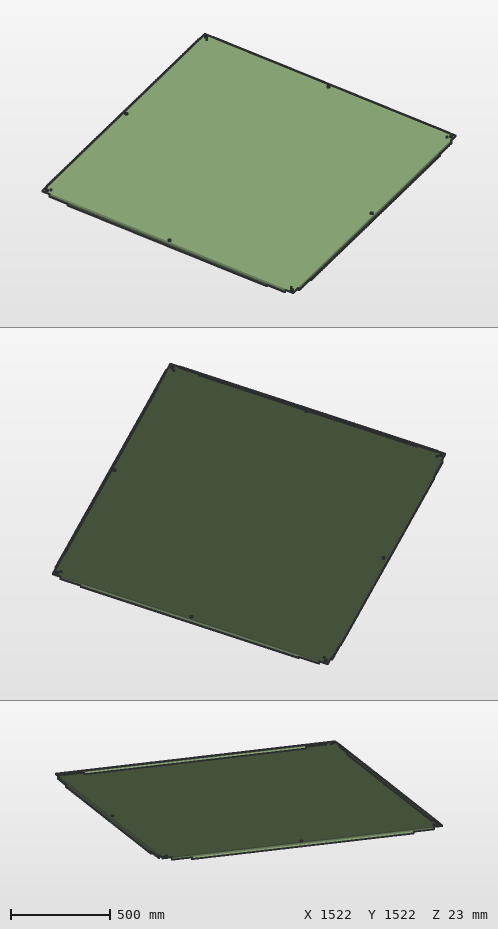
import cadquery as cq

panel_size = 1522.0
panel_height = 23.0
sheet = 3.0
bend_radius = 6.4
corner_setback = 5.3
flange_length = 1420.0
shallow_height = 14.0
deep_length = 1200.0

large_hole = 12.6
large_hole_position = 738.0
small_hole = 7.2
small_hole_position = 723.0

half_size = panel_size / 2
bend_axis = half_size - bend_radius
inner_radius = bend_radius - sheet
corner_edge = half_size - corner_setback
corner_size = corner_edge - flange_length / 2
shoulder_height = panel_height - shallow_height
shoulder_length = (flange_length - deep_length) / 2


def plate_square(size, centres):
    """Square sheets of one size with their top faces at the full panel height."""
    return (
        cq.Workplane("XY")
        .workplane(offset=panel_height - sheet)
        .pushPoints(centres)
        .rect(size, size)
        .extrude(sheet)
    )


def bent_flange():
    """Flange on the -Y edge: a quarter bend and a wall with a notch at each lower end."""
    bend_height = panel_height - bend_radius
    flange = (
        cq.Workplane("YZ")
        .moveTo(-bend_axis, panel_height)
        .radiusArc((-half_size, bend_height), -bend_radius)
        .lineTo(-half_size, 0)
        .lineTo(-half_size + sheet, 0)
        .lineTo(-half_size + sheet, bend_height)
        .radiusArc((-bend_axis, panel_height - sheet), inner_radius)
        .close()
        .extrude(flange_length / 2, both=True)
    )
    notch_offset = (deep_length + shoulder_length) / 2
    notches = (
        cq.Workplane("XY")
        .pushPoints([(-notch_offset, -half_size), (notch_offset, -half_size)])
        .rect(shoulder_length, 2 * bend_radius)
        .extrude(shoulder_height)
    )
    return flange.cut(notches)


def hole_cutter(points, diameter):
    """Vertical pins that reach through the whole panel height."""
    return cq.Workplane("XY").pushPoints(points).circle(diameter / 2).extrude(2 * panel_height)


def corner_points(distance):
    return [(x, y) for x in (-distance, distance) for y in (-distance, distance)]


def edge_points(distance):
    return [(-distance, 0), (distance, 0), (0, -distance), (0, distance)]


panel = plate_square(2 * bend_axis, [(0, 0)])
panel = panel.union(plate_square(corner_size, corner_points(corner_edge - corner_size / 2)))

for quarter_turn in range(4):
    panel = panel.union(bent_flange().rotate((0, 0, 0), (0, 0, 1), 90 * quarter_turn))

large_hole_points = corner_points(large_hole_position) + edge_points(large_hole_position)
panel = panel.cut(hole_cutter(large_hole_points, large_hole))
panel = panel.cut(hole_cutter(corner_points(small_hole_position), small_hole))

result = panel